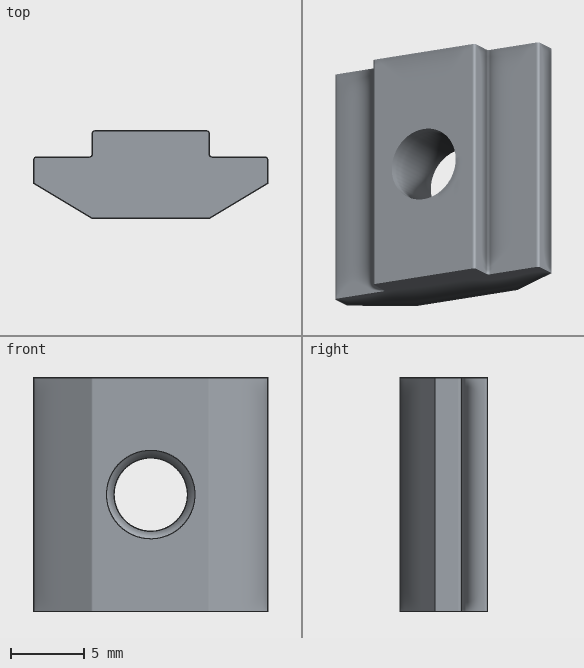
import cadquery as cq

WIDTH = 16.0
DEPTH = 6.0
LENGTH = 16.0

STEM_WIDTH = 8.0
STEM_HEIGHT = 1.8
NOSE_WIDTH = 8.0
FLANGE_THICKNESS = 1.8

EDGE_ROUND = 0.2

HOLE_DIAMETER = 5.0
COUNTERSINK_DIAMETER = 6.05
COUNTERSINK_ANGLE = 90.0

FRONT_Y = -DEPTH / 2
BACK_Y = DEPTH / 2
SHOULDER_Y = BACK_Y - STEM_HEIGHT
FLANK_Y = SHOULDER_Y - FLANGE_THICKNESS


def make_body():
    """T-shaped bar with sloped flanks; all lengthwise edges rounded except the outer slope edges."""
    half_profile = [
        (0, FRONT_Y),
        (NOSE_WIDTH / 2, FRONT_Y),
        (WIDTH / 2, FLANK_Y),
        (WIDTH / 2, SHOULDER_Y),
        (STEM_WIDTH / 2, SHOULDER_Y),
        (STEM_WIDTH / 2, BACK_Y),
        (0, BACK_Y),
    ]
    body = cq.Workplane("XY").polyline(half_profile).mirrorY().extrude(LENGTH / 2, both=True)
    sharp_edges = cq.selectors.BoxSelector(
        (-WIDTH, FLANK_Y - EDGE_ROUND, -LENGTH),
        (WIDTH, FLANK_Y + EDGE_ROUND, LENGTH),
    )
    rounded_edges = cq.selectors.InverseSelector(sharp_edges)
    return body.edges("|Z").edges(rounded_edges).fillet(EDGE_ROUND)


def cut_hole(body):
    """Countersunk through hole in the middle of the flat face."""
    return (
        body.faces("<Y")
        .workplane(centerOption="CenterOfBoundBox")
        .cskHole(HOLE_DIAMETER, COUNTERSINK_DIAMETER, COUNTERSINK_ANGLE)
    )


result = cut_hole(make_body())